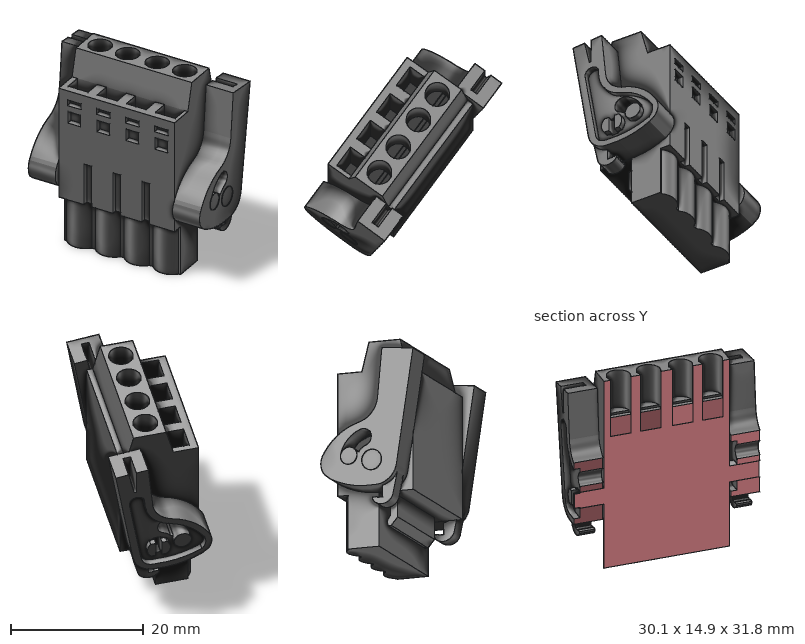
import cadquery as cq
import math


POLES = 4
PITCH = 5.05
HEIGHT = 31.8
HALF_WIDTH = 10.15

BACK_Y = 4.83
FRONT_Y = -7.38
SHOULDER_Z = 27.32
BODY_BOTTOM_Z = 8.33
RIDGE_FOOT_BACK_Y = 3.88
RIDGE_FOOT_FRONT_Y = -3.47
RIDGE_TOP_BACK_Y = 2.75
RIDGE_TOP_FRONT_Y = -2.32

PLUG_BACK_Y = -0.67
PLUG_FRONT_Y = -5.7
SOCKET_WIDTH = 4.45
SOCKET_BULGE = 1.02

FINGER_WIDTH = 3 * PITCH
FINGER_BACK_Y = 1.35
FINGER_FRONT_Y = 0.13

WIRE_PITCH = 5.1
WIRE_SHIFT = 0.15
WIRE_WIDTH = 3.5
WIRE_REACH = 2.7
WIRE_DEPTH = 11.13
OPENING_DEPTH = 0.95
UPPER_OPENING_WIDTH = 2.4
UPPER_OPENING_HEIGHT = 1.0
UPPER_OPENING_Z = 25.22
LOWER_OPENING_WIDTH = 2.2
LOWER_OPENING_HEIGHT = 2.0
LOWER_OPENING_Z = 22.7

GROOVE_WIDTH = 1.35
GROOVE_DEPTH = 0.83
GROOVE_TOP_Z = 15.4

SCREW_RADIUS = 1.85
SCREW_Y = (RIDGE_TOP_BACK_Y + RIDGE_TOP_FRONT_Y) / 2
INNER_SCREW_X = 2.58
OUTER_SCREW_X = 7.4
SCREW_SINK = 6.35
SCREW_LENGTH = 3.18
SCREW_SLOT_WIDTH = 0.65
SCREW_SLOT_DEPTH = 0.65

LEVER_GAP = 0.13
LEVER_THICKNESS = 4.75
RECESS_DEPTH = 1.02
LEVER_INNER_X = HALF_WIDTH + LEVER_GAP
LEVER_OUTER_X = LEVER_INNER_X + LEVER_THICKNESS
RECESS_FLOOR_X = LEVER_OUTER_X - RECESS_DEPTH
WEDGE_DEPTH = 3.6
HOOK_WIDTH = 2.5
HOOK_ROOT_Z = 10.7

PIVOT_Z = 12.27
PIVOT_RADIUS = 1.6
SNAP_HEAD_RADIUS = 1.78
SNAP_HEAD_HEIGHT = 2.48
SNAP_SLIT_WIDTH = 0.95
SNAP_SLIT_DEPTH = 2.55
PEG_RADIUS = 1.35
PEG_SWING_RADIUS = 3.82
PEG_ANGLE = 14.0
SWING = 55.0
NECK_ANGLE = 34.0
PIN_SETBACK = 0.1
PIN_END_X = LEVER_OUTER_X - PIN_SETBACK


def row(count, pitch):
    """Positions of a centred row."""
    return [(i - (count - 1) / 2) * pitch for i in range(count)]


def box(x_range, y_range, z_range):
    """Box between two limits along each axis."""
    ranges = (x_range, y_range, z_range)
    lengths = [abs(b - a) for a, b in ranges]
    lows = [min(r) for r in ranges]
    return cq.Workplane("XY").box(*lengths, centered=False).translate(tuple(lows))


def centred(middle, length):
    """Limits of a length centred on a place."""
    return (middle - length / 2, middle + length / 2)


def side_plane(x):
    """Sketch plane at x whose local axes are Y and Z."""
    return cq.Workplane("YZ", origin=(x, 0, 0))


def on_swing(radius, angle):
    """(Y, Z) of a point around the pivot, angle in degrees above the -Y direction."""
    turn = math.radians(angle)
    return (-radius * math.cos(turn), PIVOT_Z + radius * math.sin(turn))


def housing_block():
    outline = [
        (BACK_Y, BODY_BOTTOM_Z),
        (BACK_Y, SHOULDER_Z),
        (RIDGE_FOOT_BACK_Y, SHOULDER_Z),
        (RIDGE_TOP_BACK_Y, HEIGHT),
        (RIDGE_TOP_FRONT_Y, HEIGHT),
        (RIDGE_FOOT_FRONT_Y, SHOULDER_Z),
        (FRONT_Y, SHOULDER_Z),
        (FRONT_Y, BODY_BOTTOM_Z),
    ]
    return side_plane(-HALF_WIDTH).polyline(outline).close().extrude(2 * HALF_WIDTH)


def plug():
    """Bar with one rounded socket front per pole."""
    half = SOCKET_WIDTH / 2
    body = box((-HALF_WIDTH, HALF_WIDTH), (PLUG_FRONT_Y, PLUG_BACK_Y), (0, BODY_BOTTOM_Z))
    for x in row(POLES, PITCH):
        socket = (
            cq.Workplane("XY")
            .moveTo(x - half, PLUG_BACK_Y)
            .lineTo(x - half, PLUG_FRONT_Y)
            .threePointArc((x, PLUG_FRONT_Y - SOCKET_BULGE), (x + half, PLUG_FRONT_Y))
            .lineTo(x + half, PLUG_BACK_Y)
            .close()
            .extrude(BODY_BOTTOM_Z)
        )
        body = body.union(socket)
    return body


def latch_finger():
    """Strip with a bent tip, hanging behind the plug."""
    outline = [
        (FINGER_BACK_Y, BODY_BOTTOM_Z),
        (FINGER_BACK_Y, 4.95),
        (0.3, 3.72),
        (-0.2, 3.72),
        (-0.38, 4.45),
        (FINGER_FRONT_Y, 5.3),
        (FINGER_FRONT_Y, BODY_BOTTOM_Z),
    ]
    return side_plane(-FINGER_WIDTH / 2).polyline(outline).close().extrude(FINGER_WIDTH)


def screw_positions():
    return [(x, SCREW_Y) for x in (-OUTER_SCREW_X, -INNER_SCREW_X, INNER_SCREW_X, OUTER_SCREW_X)]


def screw_holes():
    return (
        cq.Workplane("XY", origin=(0, 0, HEIGHT))
        .pushPoints(screw_positions())
        .circle(SCREW_RADIUS)
        .extrude(-(SCREW_SINK + SCREW_LENGTH))
    )


def cut_pole_openings(body):
    """Wire entry in the front ledge and two blind openings in the front face of each pole."""
    wire_y = (RIDGE_FOOT_FRONT_Y - WIRE_REACH, RIDGE_FOOT_FRONT_Y)
    opening_y = (FRONT_Y, FRONT_Y + OPENING_DEPTH)
    upper_z = centred(UPPER_OPENING_Z, UPPER_OPENING_HEIGHT)
    lower_z = centred(LOWER_OPENING_Z, LOWER_OPENING_HEIGHT)
    for place in row(POLES, WIRE_PITCH):
        x = place + WIRE_SHIFT
        body = body.cut(box(centred(x, WIRE_WIDTH), wire_y, (SHOULDER_Z - WIRE_DEPTH, SHOULDER_Z)))
        body = body.cut(box(centred(x, UPPER_OPENING_WIDTH), opening_y, upper_z))
        body = body.cut(box(centred(x, LOWER_OPENING_WIDTH), opening_y, lower_z))
    return body


def cut_coding_grooves(body):
    groove_y = (FRONT_Y, FRONT_Y + GROOVE_DEPTH)
    for x in row(POLES - 1, PITCH):
        body = body.cut(box(centred(x, GROOVE_WIDTH), groove_y, (BODY_BOTTOM_Z, GROOVE_TOP_Z)))
    return body


def pivot(side, end_x):
    """Round pivot from the side face at side * HALF_WIDTH out to side * end_x."""
    face = side_plane(side * HALF_WIDTH)
    return face.center(0, PIVOT_Z).circle(PIVOT_RADIUS).extrude(side * (end_x - HALF_WIDTH))


def stop_peg(side):
    """Peg that limits the swing of the lever on one side."""
    face = side_plane(side * HALF_WIDTH).center(*on_swing(PEG_SWING_RADIUS, PEG_ANGLE))
    return face.circle(PEG_RADIUS).extrude(side * (PIN_END_X - HALF_WIDTH))


def snap_head():
    """Flattened disc on the left pivot that rests on the recess floor and holds the lever."""
    flats = box(
        (-PIN_END_X, -RECESS_FLOOR_X),
        centred(0, 2 * SNAP_HEAD_RADIUS),
        centred(PIVOT_Z, SNAP_HEAD_HEIGHT),
    )
    disc = side_plane(-PIN_END_X).center(0, PIVOT_Z).circle(SNAP_HEAD_RADIUS)
    return disc.extrude(PIN_END_X - RECESS_FLOOR_X).intersect(flats)


def snap_slit():
    """Slit that lets the left pivot and its head spring together."""
    return box(
        (-PIN_END_X, -PIN_END_X + SNAP_SLIT_DEPTH),
        centred(0, SNAP_SLIT_WIDTH),
        centred(PIVOT_Z, 2 * PIVOT_RADIUS),
    )


def make_housing():
    body = housing_block().union(plug()).union(latch_finger())
    body = body.cut(screw_holes())
    body = cut_pole_openings(body)
    body = cut_coding_grooves(body)
    body = body.union(stop_peg(-1)).union(stop_peg(1))
    body = body.union(pivot(1, PIN_END_X))
    return body.union(pivot(-1, RECESS_FLOOR_X)).union(snap_head()).cut(snap_slit())


def make_screw(x, y):
    """Slotted screw at the bottom of its hole."""
    top = HEIGHT - SCREW_SINK
    shank = cq.Workplane("XY", origin=(x, y, top)).circle(SCREW_RADIUS).extrude(-SCREW_LENGTH)
    slot = box(
        centred(x, 2 * SCREW_RADIUS), centred(y, SCREW_SLOT_WIDTH), (top - SCREW_SLOT_DEPTH, top)
    )
    return shank.cut(slot)


def lever_blank(x):
    """Full-thickness lever: slim handle above, rounded triangular foot below."""
    return (
        side_plane(x)
        .moveTo(6.7, 28.97)
        .lineTo(1.7, 29.45)
        .lineTo(1.0, 21.85)
        .tangentArcPoint((-2.07, 18.22), relative=False)
        .tangentArcPoint((-7.57, 14.12), relative=False)
        .lineTo(-7.9, 13.58)
        .threePointArc((-8.2, 12.3), (-7.63, 10.62))
        .lineTo(-6.75, 9.9)
        .threePointArc((-4.13, 8.8), (-1.27, BODY_BOTTOM_Z))
        .lineTo(0.65, BODY_BOTTOM_Z)
        .tangentArcPoint((4.05, 11.3), relative=False)
        .close()
        .extrude(LEVER_THICKNESS)
    )


def lever_recess(x):
    """Shallow recess that follows the lever outline."""
    return (
        side_plane(x)
        .moveTo(4.58, 22.75)
        .threePointArc((3.4, 24.07), (2.25, 22.95))
        .lineTo(2.15, 21.85)
        .tangentArcPoint((-1.6, 17.33), relative=False)
        .tangentArcPoint((-7.03, 13.15), relative=False)
        .threePointArc((-7.25, 12.15), (-6.65, 10.8))
        .threePointArc((-4.42, 9.92), (-1.27, 9.35))
        .lineTo(0.92, 9.35)
        .tangentArcPoint((2.75, 10.9), relative=False)
        .close()
        .extrude(RECESS_DEPTH)
    )


def wedge_slot(x):
    """Tapered slot in the end of the handle."""
    return (
        side_plane(x)
        .moveTo(3.53, HEIGHT)
        .lineTo(3.53, 25.35)
        .threePointArc((3.72, 25.2), (3.88, 25.35))
        .lineTo(4.7, 29.25)
        .lineTo(4.7, HEIGHT)
        .close()
        .extrude(WEDGE_DEPTH)
    )


def lever_hook(x):
    """Hook below the lever that catches the mating header."""
    return (
        side_plane(x + (LEVER_THICKNESS - HOOK_WIDTH) / 2)
        .moveTo(FINGER_BACK_Y, HOOK_ROOT_Z)
        .lineTo(FINGER_BACK_Y, 6.6)
        .lineTo(0.48, 6.6)
        .lineTo(0.48, 6.7)
        .lineTo(-0.3, 6.7)
        .lineTo(-0.3, 6.4)
        .lineTo(0.03, 5.98)
        .threePointArc((1.53, 5.55), (3.1, 7.2))
        .lineTo(3.82, HOOK_ROOT_Z)
        .close()
        .extrude(HOOK_WIDTH)
    )


def swing_slot(x):
    """Curved slot through the lever, stepped where it meets the seat of the stop peg."""
    inner = PEG_SWING_RADIUS - PEG_RADIUS
    outer = PEG_SWING_RADIUS + PEG_RADIUS
    middle_angle = PEG_ANGLE + SWING / 2
    seat = on_swing(PEG_SWING_RADIUS, PEG_ANGLE)
    neck = on_swing(inner, NECK_ANGLE)
    end_angle = PEG_ANGLE + SWING
    slot = (
        side_plane(x)
        .moveTo(*seat)
        .lineTo(seat[0], neck[1])
        .lineTo(*neck)
        .threePointArc(on_swing(inner, middle_angle), on_swing(inner, end_angle))
        .lineTo(*on_swing(outer, end_angle))
        .threePointArc(on_swing(outer, middle_angle), on_swing(outer, PEG_ANGLE))
        .close()
        .extrude(LEVER_THICKNESS)
    )
    for angle in (PEG_ANGLE, end_angle):
        slot_end = side_plane(x).center(*on_swing(PEG_SWING_RADIUS, angle)).circle(PEG_RADIUS)
        slot = slot.union(slot_end.extrude(LEVER_THICKNESS))
    return slot


def make_lever(x):
    """Lever whose recessed face lies at x and looks toward -X."""
    pivot_hole = side_plane(x).center(0, PIVOT_Z).circle(PIVOT_RADIUS).extrude(LEVER_THICKNESS)
    body = lever_blank(x).union(lever_hook(x))
    body = body.cut(lever_recess(x)).cut(wedge_slot(x))
    return body.cut(swing_slot(x)).cut(pivot_hole)


housing = make_housing()
screws = [make_screw(x, y) for x, y in screw_positions()]
levers = [make_lever(x) for x in (-LEVER_OUTER_X, LEVER_INNER_X)]

result = cq.Compound.makeCompound(
    [housing.val(), *[screw.val() for screw in screws], *[lever.val() for lever in levers]]
)